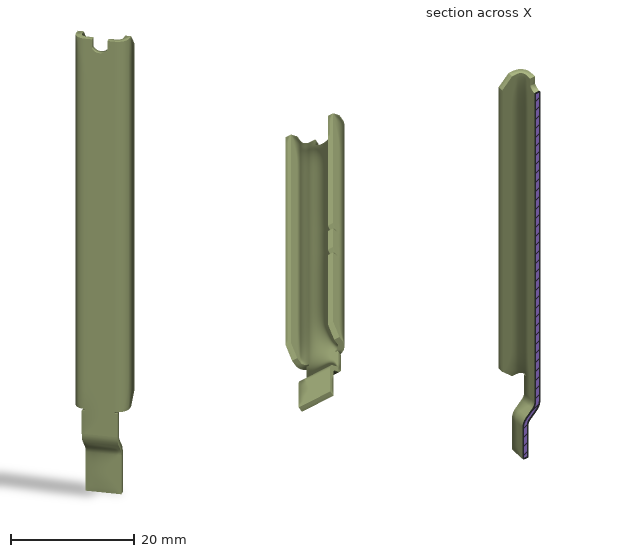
import cadquery as cq
import math

SHEET = 1.0
CHANNEL_WIDTH = 9.0
CHANNEL_DEPTH = 5.0
CHANNEL_LENGTH = 65.0
CHANNEL_BEND_INSIDE = 1.0
CHANNEL_BEND_OUTSIDE = CHANNEL_BEND_INSIDE + SHEET
WEB_WIDTH = CHANNEL_WIDTH - 2 * CHANNEL_BEND_OUTSIDE

FLANGE_CHAMFER = 2.0

V_NOTCH_DEPTH = 1.5
V_NOTCH_HEIGHT = 1.6
V_NOTCH_HEIGHTS = (23.0, 30.0)

END_NOTCH_WIDTH = 2.6
END_NOTCH_DEPTH = 2.3
END_NOTCH_BOTTOM_RADIUS = 1.5

NECK_LENGTH = 0.33
TAB_WIDTH = 6.0
TAB_LENGTH = 15.0
TAB_END_LENGTH = 6.9
TAB_STEP = 2.4
TAB_BEND_ANGLE = 45.0
TAB_BEND_INSIDE = 1.5


def channel():
    """U channel with its outer web face on Y = 0 and its lower end on Z = 0."""
    outer = box_above_web(CHANNEL_WIDTH, 0).edges("|Z and <Y").fillet(CHANNEL_BEND_OUTSIDE)
    inner = box_above_web(CHANNEL_WIDTH - 2 * SHEET, SHEET).edges("|Z and <Y").fillet(CHANNEL_BEND_INSIDE)
    return outer.cut(inner).edges("|X and >Y").edges("<Z or >Z").chamfer(FLANGE_CHAMFER)


def box_above_web(width, start_y):
    """Box of the channel's length, from start_y to the flange tips."""
    return cq.Workplane("XY").box(
        width, CHANNEL_DEPTH - start_y, CHANNEL_LENGTH, centered=(True, False, False)
    ).translate((0, start_y, 0))


def v_notch(height):
    """Triangular cutter through the -X flange, pointing toward the web."""
    return (
        cq.Workplane("YZ", origin=(-CHANNEL_WIDTH / 2, 0, 0))
        .moveTo(CHANNEL_DEPTH, height - V_NOTCH_HEIGHT / 2)
        .lineTo(CHANNEL_DEPTH - V_NOTCH_DEPTH, height)
        .lineTo(CHANNEL_DEPTH, height + V_NOTCH_HEIGHT / 2)
        .close()
        .extrude(SHEET)
    )


def end_notch():
    """Cutter for the notch in the web: straight sides and a shallow arc at the bottom."""
    half_width = END_NOTCH_WIDTH / 2
    arc_height = END_NOTCH_BOTTOM_RADIUS - math.sqrt(END_NOTCH_BOTTOM_RADIUS**2 - half_width**2)
    bottom = CHANNEL_LENGTH - END_NOTCH_DEPTH
    return (
        cq.Workplane("XZ")
        .moveTo(-half_width, CHANNEL_LENGTH)
        .lineTo(-half_width, bottom + arc_height)
        .threePointArc((0, bottom), (half_width, bottom + arc_height))
        .lineTo(half_width, CHANNEL_LENGTH)
        .close()
        .extrude(-SHEET)
    )


def neck():
    """Strip of web between the channel and the wider tab."""
    return cq.Workplane("XY").box(
        WEB_WIDTH, SHEET, NECK_LENGTH, centered=(True, False, False)
    ).translate((0, 0, -NECK_LENGTH))


def tab():
    """Tab with an S bend, swept along its centre line from the free end upward."""
    angle = math.radians(TAB_BEND_ANGLE)
    radius = TAB_BEND_INSIDE + SHEET / 2
    bend_rise = radius * math.sin(angle)
    bend_shift = radius * (1 - math.cos(angle))
    ramp_shift = TAB_STEP - 2 * bend_shift
    ramp_rise = ramp_shift / math.tan(angle)

    tab_top = -NECK_LENGTH
    tab_end = tab_top - TAB_LENGTH
    end_y = SHEET / 2 + TAB_STEP
    path = (
        cq.Workplane("YZ")
        .moveTo(end_y, tab_end)
        .line(0, TAB_END_LENGTH)
        .tangentArcPoint((-bend_shift, bend_rise))
        .line(-ramp_shift, ramp_rise)
        .tangentArcPoint((-bend_shift, bend_rise))
        .lineTo(SHEET / 2, tab_top)
    )
    return cq.Workplane("XY", origin=(0, end_y, tab_end)).rect(TAB_WIDTH, SHEET).sweep(path)


result = channel().cut(end_notch())
for notch_height in V_NOTCH_HEIGHTS:
    result = result.cut(v_notch(notch_height))
result = result.union(neck()).union(tab())